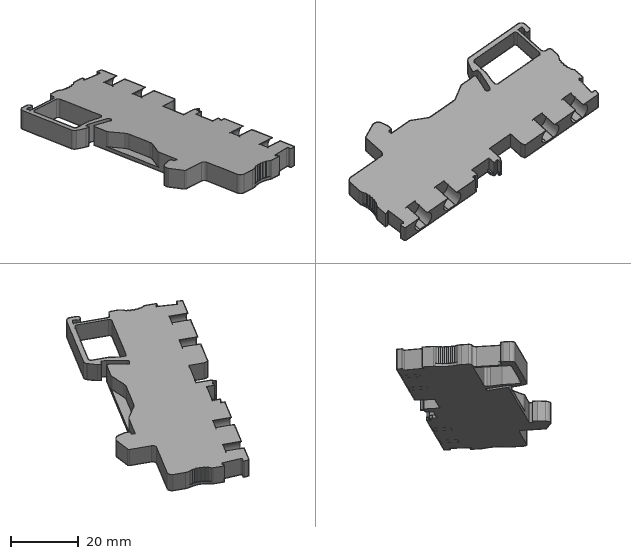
import cadquery as cq
import math

length = 77.9
height = 35.5
thickness = 6.2

rail_y = 6.15
left_shoulder_y = 12.95
right_shoulder_y = 10.6
foot_inner_y = 1.65

left_end_x = 0.3
right_end_x = length
end_step_y = 27.7
undercut_y = 27.4
tab_lip_y = 33.6
tab_mirror_x = 39.03

strut_left = 2.9
strut_right = 3.85
hook_inner_x = 1.72
hook_throat_x = 1.45
hook_step_y = 2.9
hook_top_y = 4.25
web_height = 1.1
web_fillet = 0.9
web_overlap = 0.1
web_top_y = hook_top_y + web_fillet + 0.05
window_radius = 0.8
window_right_top = 21.4
window_right_bottom = 20.65
slit_end_radius = 0.75
slit_left_bottom = 21.95
slit_right_bottom = 23.75
rail_catch_y = 4.95
right_foot_left = 55.5
right_hook_back = 56.65
right_foot_right = 63.4

recess_left, recess_right = 30.4, 38.6
recess_floor = 29.55
recess_rim_y = 34.3
seat_centre = 44.48
seat_floor = 32.1
seat_step_y = 33.45
seat_neck_half = 2.75
seat_half = 3.3
seat_lip_y = 34.5
seat_groove_y = 34.25
seat_claw_half = 4.45
seat_claw_root_half = 4.85
ledge_height = 0.95

wire_end_y = 29.8
wire_floor = 0.26
wire_axis_z = 3.3
wire_mouth_chamfer = 0.25
outer_slot_width = 3.0
inner_slot_width = 3.3
wire_entries = [
    (8.6, outer_slot_width),
    (20.0, inner_slot_width),
    (58.5, inner_slot_width),
    (69.85, outer_slot_width),
]

grip_centre_y = 20.3
grip_half = 3.7
grip_depth = 0.85
grip_lower_blend = 3.4
grip_upper_blend = 1.0
groove_bottom_y = 17.35
groove_top_y = 23.75
grip_flange = 0.95
groove_count = 5
groove_pitch = (groove_top_y - groove_bottom_y) / (groove_count + 0.5)
groove_depth = 0.3
crest_depth = 0.08

pocket_floor = 1.2
pocket_centre = 39.27
pocket_half = 4.8
pocket_top_y = 9.2
pocket_slope = math.radians(30)
pocket_corner_radius = 2.5
pocket_mouth_radius = 1.0

OVERCUT = 1.0


def rounded_wire(corners, z=0.0):
    """Closed outline through (x, y, corner radius) points."""
    path = []
    count = len(corners)
    for i, (x, y, radius) in enumerate(corners):
        if radius == 0:
            path.append(((x, y),))
            continue
        corner = cq.Vector(x, y)
        before = cq.Vector(*corners[i - 1][:2]) - corner
        after = cq.Vector(*corners[(i + 1) % count][:2]) - corner
        before, after = before.normalized(), after.normalized()
        half_angle = before.getAngle(after) / 2
        reach = radius / math.tan(half_angle)
        to_middle = radius / math.sin(half_angle) - radius
        middle = corner + (before + after).normalized() * to_middle
        start = corner + before * reach
        end = corner + after * reach
        path.append(tuple(p.toTuple()[:2] for p in (start, middle, end)))
    outline = cq.Workplane("XY", origin=(0, 0, z)).moveTo(*path[0][-1])
    for stop in path[1:] + path[:1]:
        outline = outline.lineTo(*stop[0])
        if len(stop) == 3:
            outline = outline.threePointArc(stop[1], stop[2])
    return outline.close()


def prism(corners, bottom=0.0, top=thickness):
    return rounded_wire(corners, bottom).extrude(top - bottom)


def seat_side(side):
    """One half of the plug seat, from its floor up to the top edge (side -1 left, +1 right)."""
    profile = [
        (seat_half, seat_floor),
        (seat_half, seat_lip_y),
        (4.0, seat_lip_y),
        (4.25, seat_groove_y),
        (seat_claw_root_half, seat_groove_y),
        (seat_claw_root_half, height),
    ]
    return [(seat_centre + side * x, y, 0) for x, y in profile]


def end_tab():
    """Clip tab and undercut at the top of the left end, from the top edge down."""
    return [
        (1.0, height, 0.4),
        (0.75, tab_lip_y, 0.3),
        (2.2, tab_lip_y + 0.15, 0.4),
        (1.65, undercut_y, 0),
        (1.25, undercut_y - 0.1, 0),
        (1.15, end_step_y, 0),
    ]


def mirrored_end_tab():
    return [(2 * tab_mirror_x - x, y, radius) for x, y, radius in reversed(end_tab())]


def make_body():
    left_end = [
        (left_end_x, end_step_y, 0),
        (left_end_x, left_shoulder_y, 0.9),
        (strut_left, left_shoulder_y, 1.15),
    ]
    hook = [
        (strut_left, foot_inner_y, 0),
        (hook_throat_x, foot_inner_y, 0.2),
        (hook_throat_x, hook_step_y - 0.05, 0.1),
        (hook_inner_x, hook_step_y + 0.05, 0.1),
        (hook_inner_x, hook_top_y, 0.3),
        (0, hook_top_y, 0.85),
        (0, 0, 1.5),
    ]
    foot_and_slit = [
        (21.4, 0, 1.3),
        (22.6, 2.2, 15.0),
        (23.4, rail_catch_y - 0.1, 0.3),
        (slit_left_bottom - 0.1, rail_catch_y + 0.1, 0.2),
        (slit_left_bottom, 6.6, 0),
        (23.75, 13.3, slit_end_radius),
        (25.35, 12.8, slit_end_radius),
        (slit_right_bottom, 7.0, 0),
        (slit_right_bottom, rail_y, 0.45),
    ]
    right_foot = [
        (right_hook_back, rail_y, 0),
        (right_hook_back, rail_catch_y, 0.3),
        (right_foot_left, rail_catch_y, 0),
        (right_foot_left, 3.4, 0),
        (56.6, 0, 1.8),
        (58.5, 0, 1.0),
        (right_foot_right, 2.3, 0.5),
        (right_foot_right, right_shoulder_y, 1.2),
    ]
    right_end = [
        (right_end_x, right_shoulder_y, 1.5),
        (right_end_x, end_step_y, 0),
    ]
    seat = seat_side(1)[::-1] + seat_side(-1)
    recess = [
        (recess_right + 0.5, height, 0.2),
        (recess_right + 0.35, recess_rim_y + 0.4, 0),
        (recess_right, recess_rim_y, 0),
        (recess_right, recess_floor, 0),
        (recess_left, recess_floor, 0),
        (recess_left, recess_rim_y, 1.0),
        (recess_left - 0.5, height, 0.3),
    ]
    outline = (
        end_tab() + left_end + hook + foot_and_slit + right_foot
        + right_end + mirrored_end_tab() + seat + recess
    )
    return prism(outline)


def make_foot_window():
    return prism([
        (strut_right, left_shoulder_y, window_radius),
        (window_right_top, left_shoulder_y, window_radius),
        (window_right_top, 11.2, 0),
        (window_right_bottom, 7.6, 0),
        (window_right_bottom, foot_inner_y, window_radius),
        (strut_right, foot_inner_y, window_radius),
    ])


def make_hook_web():
    """Low web between the hook and the strut."""
    web_left = hook_throat_x - web_overlap
    web_right = strut_left + web_overlap
    web_bottom = foot_inner_y - web_overlap
    return prism([
        (web_left, web_bottom, 0),
        (web_right, web_bottom, 0),
        (web_right, web_top_y, 0),
        (strut_left, web_top_y, 0),
        (strut_left, hook_top_y, web_fillet),
        (web_left, hook_top_y, 0),
    ], top=web_height)


def make_seat_ledges(side):
    """Low ledge beside the seat floor and low tip on the claw above it."""
    ledge = [
        (seat_half, seat_floor),
        (seat_neck_half, seat_floor),
        (seat_neck_half, seat_step_y),
        (seat_half, seat_lip_y),
    ]
    claw = [
        (seat_claw_root_half, seat_lip_y),
        (seat_claw_half, seat_lip_y + 0.4),
        (seat_claw_half + 0.1, height),
        (seat_claw_root_half, height),
    ]
    ledge_corners = [(seat_centre + side * x, y, 0) for x, y in ledge]
    claw_corners = [(seat_centre + side * x, y, 0) for x, y in claw]
    return prism(ledge_corners, top=ledge_height).union(prism(claw_corners, top=ledge_height))


def make_wire_entry(centre_x, slot_width):
    radius = math.hypot(slot_width / 2, thickness - wire_axis_z)
    depth = height - wire_end_y
    hole = (
        cq.Workplane("XZ", origin=(centre_x, height, wire_axis_z))
        .circle(radius)
        .extrude(depth)
    )
    above_floor = (
        cq.Workplane("YZ", origin=(centre_x - radius, 0, 0))
        .moveTo(wire_end_y, wire_floor)
        .lineTo(height - wire_mouth_chamfer, wire_floor)
        .lineTo(height, 0)
        .lineTo(height, 2 * thickness)
        .lineTo(wire_end_y, 2 * thickness)
        .close()
        .extrude(2 * radius)
    )
    return hole.intersect(above_floor)


def cut_grip(body, end_x, inward):
    """Hollow one end face and groove it above the flange (inward is the X direction into the body)."""
    radius = (grip_half**2 + grip_depth**2) / (2 * grip_depth)
    axis_x = end_x + inward * (grip_depth - radius)
    hollow = cq.Workplane("XY").center(axis_x, grip_centre_y).circle(radius).extrude(thickness)
    body = body.cut(hollow)
    blends = [
        (grip_centre_y - grip_half, grip_lower_blend),
        (grip_centre_y + grip_half, grip_upper_blend),
    ]
    for rim_y, blend in blends:
        rim = cq.selectors.NearestToPointSelector((end_x, rim_y, thickness / 2))
        body = body.edges("|Z").edges(rim).fillet(blend)

    def at_depth(y, depth):
        x = axis_x + inward * (math.sqrt(radius**2 - (y - grip_centre_y) ** 2) + depth)
        return (x, y, 0)

    teeth = []
    for i in range(2 * groove_count + 1):
        y = groove_bottom_y + (i + 0.5) * groove_pitch / 2
        teeth.append(at_depth(y, groove_depth if i % 2 else crest_depth))
    outer_x = end_x - inward * OVERCUT
    ends = [(outer_x, groove_top_y, 0), (outer_x, groove_bottom_y, 0)]
    first = at_depth(groove_bottom_y, 0)
    last = at_depth(groove_top_y, 0)
    return body.cut(prism([first] + teeth + [last] + ends, bottom=grip_flange))


def make_rail_pocket():
    mouth_half = pocket_half + (pocket_top_y - rail_y) / math.tan(pocket_slope)
    below = rail_y - OVERCUT
    left, right = pocket_centre - mouth_half, pocket_centre + mouth_half
    return prism([
        (left - OVERCUT, below, 0),
        (left - OVERCUT, rail_y, 0),
        (left, rail_y, pocket_mouth_radius),
        (pocket_centre - pocket_half, pocket_top_y, pocket_corner_radius),
        (pocket_centre + pocket_half, pocket_top_y, pocket_corner_radius),
        (right, rail_y, pocket_mouth_radius),
        (right + OVERCUT, rail_y, 0),
        (right + OVERCUT, below, 0),
    ], bottom=pocket_floor)


body = make_body().cut(make_foot_window()).union(make_hook_web())
for side in (-1, 1):
    body = body.union(make_seat_ledges(side))
for centre_x, slot_width in wire_entries:
    body = body.cut(make_wire_entry(centre_x, slot_width))
body = cut_grip(body, left_end_x, 1)
body = cut_grip(body, right_end_x, -1)
result = body.cut(make_rail_pocket())